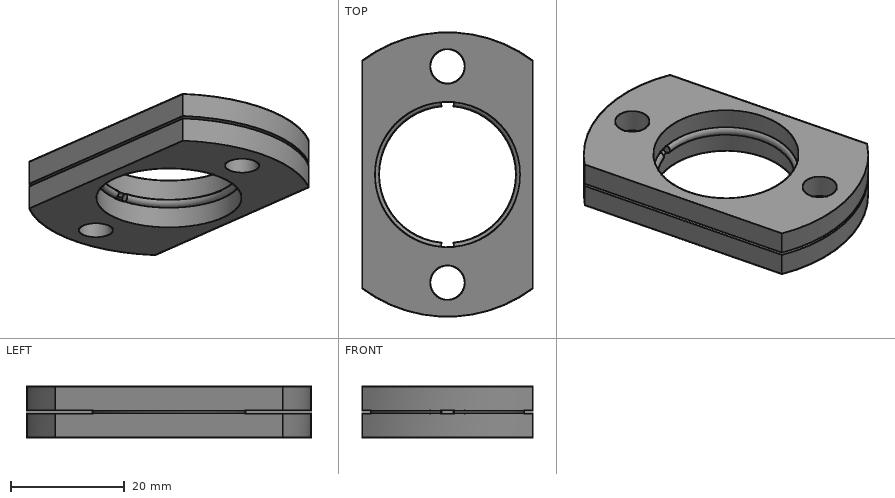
import cadquery as cq

disc_diameter = 50.0
plate_width = 30.0
total_height = 9.0
plate_gap = 0.5
plate_thickness = (total_height - plate_gap) / 2

bore_diameter = 25.5
bolt_hole_diameter = 6.0
bolt_hole_spacing = 38.0

wire_radius = 0.75
ring_radius = bore_diameter / 2
ring_gap_angle = 10.0
ring_segment_angle = 180.0 - ring_gap_angle


def make_plate(bottom_z):
    """Disc with two flat sides, a central bore and two bolt holes."""
    disc = cq.Workplane("XY").workplane(offset=bottom_z).circle(disc_diameter / 2).extrude(plate_thickness)
    flats = (
        cq.Workplane("XY")
        .workplane(offset=bottom_z)
        .rect(plate_width, disc_diameter)
        .extrude(plate_thickness)
    )
    return (
        disc.intersect(flats)
        .faces(">Z")
        .workplane(origin=(0, 0, 0))
        .circle(bore_diameter / 2)
        .cutThruAll()
        .faces(">Z")
        .workplane(origin=(0, 0, 0))
        .rarray(1, bolt_hole_spacing, 1, 2)
        .circle(bolt_hole_diameter / 2)
        .cutThruAll()
    )


def make_wire_ring(sweep_angle):
    """Round wire swept about Z from the +X side of the XZ plane, at mid height."""
    return (
        cq.Workplane("XZ")
        .center(ring_radius, 0)
        .circle(wire_radius)
        .revolve(sweep_angle, (-ring_radius, 0), (-ring_radius, 1))
    )


lower_plate = make_plate(-total_height / 2)
upper_plate = make_plate(plate_gap / 2)

plates = lower_plate.union(upper_plate).cut(make_wire_ring(360.0))

result = plates
ring_segment = make_wire_ring(ring_segment_angle)
for segment_middle in (0.0, 180.0):
    start_angle = segment_middle - ring_segment_angle / 2
    result = result.union(ring_segment.rotate((0, 0, 0), (0, 0, 1), start_angle))